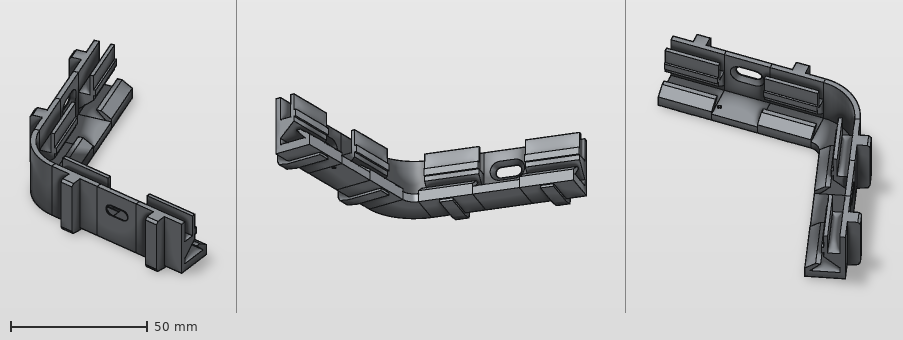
import cadquery as cq

bend_angle = 106.0
heading = -0.2
clip_length = 21.0
label_length = 18.0
outer_radius = 20.0
depth = 15.0
height = 22.2

wall = 2.1
floor = 3.2

plate_outer = 6.6
plate_inner = 8.0
bump_inner = 8.8
slot_bottom = 13.2
bump_bottom = 13.1
bump_top = 15.9
gusset_front = 11.2
gusset_root = 5.7

lip_top = 7.2
lip_knee = 4.4
lip_tip_outer = 11.0
lip_tip_inner = 9.1
lip_root = 12.9

rib_width = 5.1
rib_reach = 4.8
rib_chamfer = 1.0
toe_run = 0.7
toe_top = 1.1
toe_bottom = -0.3
foot_drop = 1.0
foot_end = 14.2

window_length = 10.0
window_height = 4.3
window_level = 14.0
window_land = 0.4
pin_place = 16.7
pin_depth = 10.5
pin_diameter = 0.8
pin_hole_diameter = 1.5

turn_angle = 180.0 - bend_angle
inner_radius = outer_radius - depth
flare_depth = wall - window_land


def prism(points, length, start=0.0):
    """Extrude a (depth, height) profile along the arm; depth 0 is the outer wall face."""
    plane = cq.Workplane("YZ", origin=(start, -outer_radius, 0))
    return plane.polyline(points).close().extrude(length)


def make_clip():
    section = [
        (0, 0),
        (depth, 0),
        (depth, lip_knee),
        (lip_tip_outer, lip_top),
        (lip_tip_inner, lip_top),
        (lip_root, floor),
        (wall, floor),
        (wall, gusset_root),
        (plate_inner, gusset_front),
        (plate_inner, bump_bottom),
        (bump_inner, bump_bottom),
        (bump_inner, bump_top),
        (plate_inner, bump_top),
        (plate_inner, height),
        (plate_outer, height),
        (plate_outer, slot_bottom),
        (wall, slot_bottom),
        (wall, height),
        (0, height),
    ]
    rib = [
        (wall / 2, height),
        (rib_chamfer - rib_reach, height),
        (-rib_reach, height - rib_chamfer),
        (-rib_reach, toe_top),
        (toe_run - rib_reach, toe_bottom),
        (0, -foot_drop),
        (foot_end, -foot_drop),
        (foot_end, 0),
        (wall / 2, 0),
    ]
    body = prism(section, clip_length)
    return body.union(prism(rib, rib_width, (clip_length - rib_width) / 2))


def make_label():
    section = [(0, 0), (depth, 0), (depth, floor), (wall, floor), (wall, height), (0, height)]
    outer_face = cq.Workplane("XZ", origin=(label_length / 2, -outer_radius, window_level))
    window = outer_face.slot2D(window_length, window_height).extrude(-wall)
    flare = (
        outer_face.workplane(offset=-wall)
        .slot2D(window_length + 2 * flare_depth, window_height + 2 * flare_depth)
        .extrude(flare_depth, taper=45)
    )
    return prism(section, label_length).cut(window).cut(flare)


def make_pin(diameter):
    center = (pin_place, pin_depth - outer_radius, 0)
    return cq.Workplane("XY", origin=center).circle(diameter / 2).extrude(floor)


def make_corner():
    section = [
        (outer_radius, 0),
        (inner_radius, 0),
        (inner_radius, floor),
        (outer_radius - wall, floor),
        (outer_radius - wall, height),
        (outer_radius, height),
    ]
    ring = cq.Workplane("XZ").polyline(section).close().revolve(turn_angle, (0, 0), (0, 1))
    return turned(ring, -90 - turn_angle)


def turned(body, angle):
    """Turn a body about the vertical axis of the bend."""
    return body.rotate((0, 0, 0), (0, 0, 1), angle)


def shifted(body, distance):
    """Slide a body along its arm."""
    return body.translate((distance, 0, 0))


def mirrored(body):
    """Flip a body lying along +X so that it lies along -X."""
    return body.mirror("YZ")


label_start = clip_length
outer_clip_start = clip_length + label_length

clip = make_clip()
label = make_label()
pin_hole = make_pin(pin_hole_diameter)

right_arm = [
    clip,
    shifted(label.cut(pin_hole), label_start),
    shifted(make_pin(pin_diameter), label_start),
    shifted(clip, outer_clip_start),
]
left_arm = [
    turned(mirrored(body), -turn_angle)
    for body in (clip, shifted(label, label_start), shifted(clip, outer_clip_start))
]

bodies = [make_corner(), *right_arm, *left_arm]
result = cq.Compound.makeCompound([turned(body, heading).val() for body in bodies])